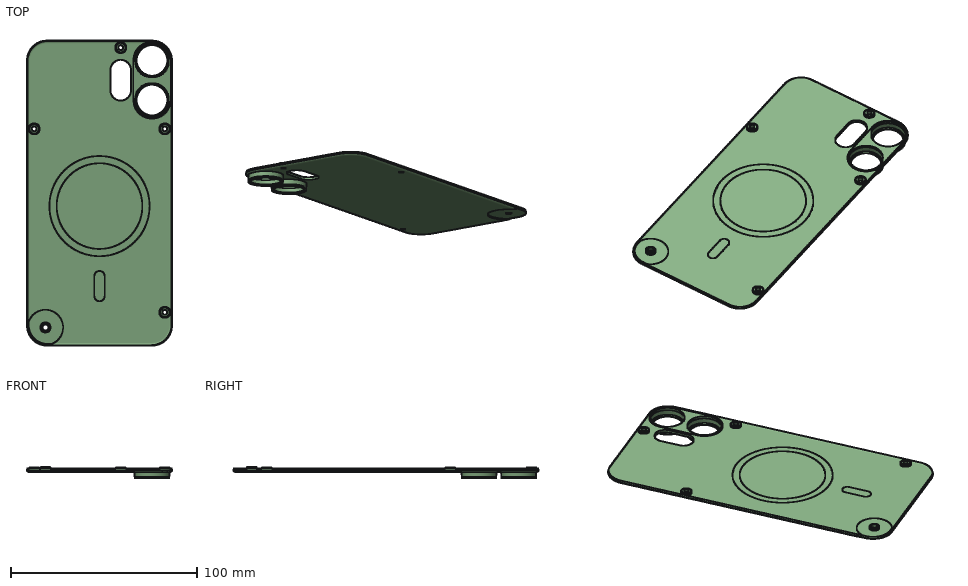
import cadquery as cq
import math

plate_width = 78.07
plate_length = 164.09
corner_radius = 11.0
widest_height = 1.0
rim_height = 2.0
rim_slope = 16.7
underside_round = 1.42
floor_height = 1.5
floor_inset = 1.6
cove_radius = 1.7
draft = 3.0

lens_x = 28.2
lens_upper_y = 71.3
lens_pitch = 21.3
camera_pad_radius = 10.0
camera_pad_height = 1.7
collar_depth = 3.4
collar_radius = 9.53
bore_radius = 9.15
lip_radius = 8.2
lip_top = -2.5
lip_edge = -3.1

slot_x = 11.4
slot_width = 10.95
slot_length = 21.8

boss_diameter = 6.0
boss_height = 2.5
boss_bore = 2.5
boss_chamfer = 0.5
side_boss_x = 35.1
side_boss_y = 34.5
top_boss_y = 78.2
lower_boss_y = -64.1

corner_x = -29.05
corner_y = -72.2
corner_pad_radius = 9.5
corner_pad_height = 1.6
corner_pocket_radius = 11.3
corner_pocket_depth = 0.7
tall_boss_diameter = 5.5
tall_boss_height = 2.9
tall_boss_bore = 3.2

magnet_thickness = 0.8
magnet_gap = 0.1
ring_y = -7.0
ring_inner_diameter = 46.2
ring_outer_diameter = 53.8
bar_y = -50.0
bar_width = 5.4
bar_length = 16.2

lens_ys = [lens_upper_y, lens_upper_y - lens_pitch]
lens_middle_y = sum(lens_ys) / 2
magnet_bottom = floor_height - magnet_thickness
boss_centers = [
    (slot_x, top_boss_y),
    (-side_boss_x, side_boss_y),
    (side_boss_x, side_boss_y),
    (side_boss_x, lower_boss_y),
]


def plane_at(x, y, z):
    return cq.Workplane("XY", origin=(x, y, z))


def disc(x, y, radius, low, high):
    return plane_at(x, y, low).circle(radius).extrude(high - low)


def stadium(x, y, width, length, low, high, taper=0):
    """Upright block with round ends, its length along Y."""
    return plane_at(x, y, low).slot2D(length, width, 90).extrude(high - low, taper=taper)


def outline_block(inset, low, high):
    """Block with the plate's rounded outline, offset inwards by inset."""
    return (
        plane_at(0, 0, low)
        .rect(plate_width - 2 * inset, plate_length - 2 * inset)
        .extrude(high - low)
        .edges("|Z")
        .fillet(corner_radius - inset)
    )


def make_outer_form():
    """Solid plate: rounded below its widest line and leaning inwards above it."""
    round_center_inset = math.sqrt(underside_round**2 - (underside_round - widest_height) ** 2)
    lower = outline_block(round_center_inset - underside_round, 0, 2 * underside_round)
    lower = lower.faces("<Z").edges().fillet(underside_round)
    lower = lower.intersect(outline_block(0, 0, widest_height))
    upper = (
        outline_block(0, 0, widest_height)
        .faces(">Z")
        .wires()
        .toPending()
        .workplane()
        .extrude(rim_height - widest_height, taper=rim_slope, combine=False)
    )
    return lower.union(upper)


def make_tray_cavity():
    """Space above the floor, with a cove round its edge."""
    cavity = outline_block(floor_inset - cove_radius, floor_height, floor_height + 2 * cove_radius)
    return cavity.faces("<Z").edges().fillet(cove_radius)


def cone_radius(radius, drop):
    """Radius of a drafted round wall at a distance below its given radius."""
    return radius - drop * math.tan(math.radians(draft))


def turned(points, y):
    """Solid of revolution about the vertical axis of the lens at y, from (radius, z) points."""
    profile = cq.Workplane("XZ", origin=(lens_x, y, 0)).polyline(points).close()
    return profile.revolve(360, (0, 0), (0, 1))


def make_collar(y):
    return turned(
        [
            (0, floor_height),
            (collar_radius, floor_height),
            (collar_radius, 0),
            (cone_radius(collar_radius, collar_depth), -collar_depth),
            (0, -collar_depth),
        ],
        y,
    )


def make_lens_bore(y):
    """Drafted bore that narrows to a sloping lip near its lower end."""
    return turned(
        [
            (0, camera_pad_height),
            (bore_radius, camera_pad_height),
            (cone_radius(bore_radius, camera_pad_height - lip_top), lip_top),
            (lip_radius, lip_edge),
            (lip_radius, -collar_depth),
            (0, -collar_depth),
        ],
        y,
    )


def make_boss(x, y, diameter, height):
    boss = disc(x, y, diameter / 2, corner_pocket_depth, height)
    return boss.faces(">Z").edges().chamfer(boss_chamfer)


def make_ring(inner_diameter, outer_diameter):
    return (
        plane_at(0, ring_y, magnet_bottom)
        .circle(outer_diameter / 2)
        .circle(inner_diameter / 2)
        .extrude(magnet_thickness)
    )


def make_bar(width, length):
    return stadium(0, bar_y, width, length, magnet_bottom, floor_height)


def make_back_plate():
    outer_form = make_outer_form()
    plate = outer_form.cut(make_tray_cavity())

    camera_pad = stadium(
        lens_x,
        lens_middle_y,
        2 * camera_pad_radius,
        lens_pitch + 2 * camera_pad_radius,
        widest_height,
        camera_pad_height,
    )
    corner_pad = disc(corner_x, corner_y, corner_pad_radius, widest_height, corner_pad_height)
    for pad in (camera_pad, corner_pad):
        plate = plate.union(pad.intersect(outer_form))
    plate = plate.cut(disc(corner_x, corner_y, corner_pocket_radius, 0, corner_pocket_depth))

    for y in lens_ys:
        plate = plate.union(make_collar(y))
    for y in lens_ys:
        plate = plate.cut(make_lens_bore(y))
    slot = stadium(slot_x, lens_middle_y, slot_width, slot_length, 0, floor_height, -draft)
    plate = plate.cut(slot)

    for x, y in boss_centers:
        plate = plate.union(make_boss(x, y, boss_diameter, boss_height))
        plate = plate.cut(disc(x, y, boss_bore / 2, 0, boss_height))
    plate = plate.union(make_boss(corner_x, corner_y, tall_boss_diameter, tall_boss_height))
    plate = plate.cut(disc(corner_x, corner_y, tall_boss_bore / 2, 0, tall_boss_height))

    clearance = 2 * magnet_gap
    plate = plate.cut(make_ring(ring_inner_diameter - clearance, ring_outer_diameter + clearance))
    return plate.cut(make_bar(bar_width + clearance, bar_length + clearance))


back_plate = make_back_plate()
ring_magnet = make_ring(ring_inner_diameter, ring_outer_diameter)
bar_magnet = make_bar(bar_width, bar_length)

result = cq.Compound.makeCompound([back_plate.val(), ring_magnet.val(), bar_magnet.val()])